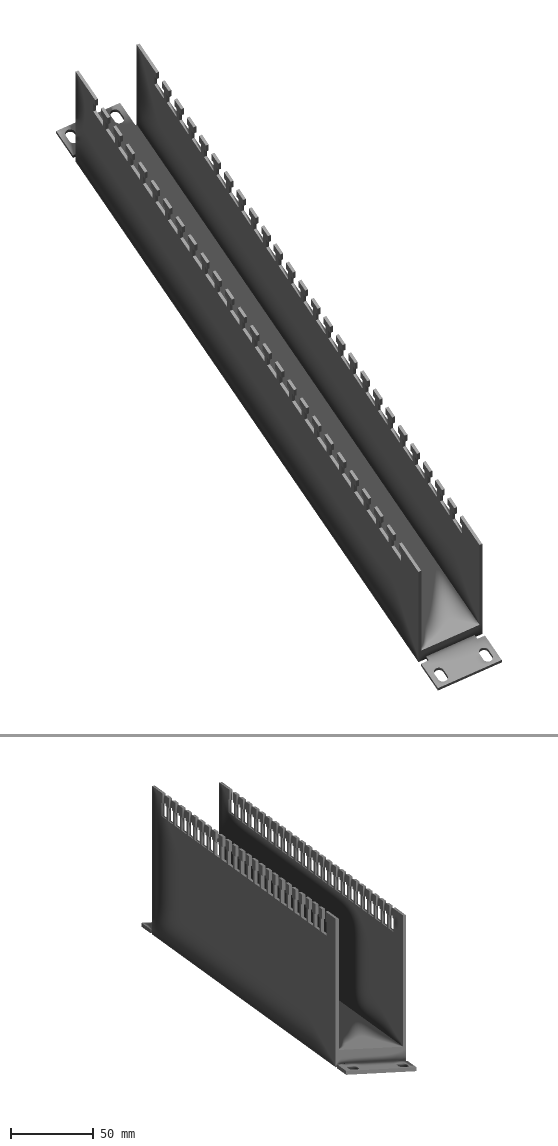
import cadquery as cq

PANEL_LENGTH = 482.0
DEPTH = 44.5
HEIGHT = 92.0

BASE_LENGTH = 433.0
BASE_HEIGHT = 10.5
EAR_THICKNESS = 2.5
RELIEF_WIDTH = 3.5
RELIEF_DEPTH = 5.5

MOUNT_SLOT_LENGTH = 11.0
MOUNT_SLOT_WIDTH = 6.5
MOUNT_SLOT_SPACING_X = 465.5
MOUNT_SLOT_SPACING_Y = 31.5

WALL_THICKNESS = 2.0
COMB_SLOT_COUNT = 25
COMB_SPAN = 376.5
COMB_SLOT_PITCH = COMB_SPAN / (COMB_SLOT_COUNT - 1)
COMB_SLOT_DEPTH = 14.5
COMB_SLOT_WIDTH = 12.0
THROAT_DEPTH = 6.5
THROAT_WIDTH = 7.0


def make_base():
    """Base block with slotted ears and a relief notch at each corner of the block."""
    block = cq.Workplane("XY").box(BASE_LENGTH, DEPTH, BASE_HEIGHT, centered=(True, True, False))
    plate = cq.Workplane("XY").box(PANEL_LENGTH, DEPTH, EAR_THICKNESS, centered=(True, True, False))

    reliefs = (
        cq.Workplane("XY")
        .rarray(BASE_LENGTH + RELIEF_WIDTH, DEPTH - RELIEF_DEPTH, 2, 2)
        .rect(RELIEF_WIDTH, RELIEF_DEPTH)
        .extrude(EAR_THICKNESS)
    )
    mount_slots = (
        cq.Workplane("XY")
        .rarray(MOUNT_SLOT_SPACING_X, MOUNT_SLOT_SPACING_Y, 2, 2)
        .slot2D(MOUNT_SLOT_LENGTH, MOUNT_SLOT_WIDTH)
        .extrude(EAR_THICKNESS)
    )
    return block.union(plate.cut(reliefs).cut(mount_slots))


def make_slot_row(width, bottom, top):
    """Row of rectangular cutters at the comb pitch, spanning the thickness of a wall at Y = 0."""
    return (
        cq.Workplane("XZ", origin=(0, 0, (bottom + top) / 2))
        .rarray(COMB_SLOT_PITCH, 5, COMB_SLOT_COUNT, 1)
        .rect(width, top - bottom)
        .extrude(WALL_THICKNESS / 2, both=True)
    )


def make_comb_wall(y_center):
    """Upright wall on the base; each comb slot is a narrow throat over a wider pocket."""
    wall = cq.Workplane("XY", origin=(0, 0, BASE_HEIGHT)).box(
        BASE_LENGTH, WALL_THICKNESS, HEIGHT - BASE_HEIGHT, centered=(True, True, False)
    )
    throat_bottom = HEIGHT - THROAT_DEPTH
    throats = make_slot_row(THROAT_WIDTH, throat_bottom, HEIGHT)
    pockets = make_slot_row(COMB_SLOT_WIDTH, HEIGHT - COMB_SLOT_DEPTH, throat_bottom)
    return wall.cut(throats).cut(pockets).translate((0, y_center, 0))


base = make_base()

wall_offset = (DEPTH - WALL_THICKNESS) / 2
comb_walls = [make_comb_wall(side * wall_offset) for side in (-1, 1)]

result = cq.Compound.makeCompound([base.val(), *[wall.val() for wall in comb_walls]])